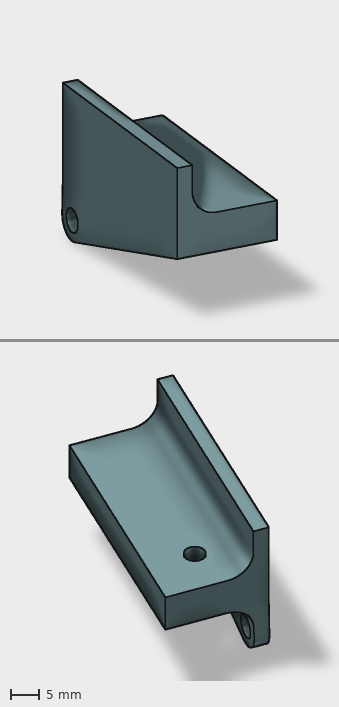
import cadquery as cq
import math

length = 45.35
depth = 20.0
height = 29.25

plate_thickness = 3.0
end_height = 17.6
left_edge_x = 0.3
lug_radius = 4.0
lug_hole_diameter = 4.6

shelf_drop = 10.0
fillet_radius = 5.0
shelf_hole_diameter = 4.0
shelf_hole_x = 9.35
shelf_hole_y = 10.6

shelf_top = height - shelf_drop
shelf_bottom = height - end_height
lug_x = lug_radius
lug_z = lug_radius


def lug_point(angle):
    """Point on the rim of the rounded lug, angle in radians from +X."""
    return (lug_x + lug_radius * math.cos(angle), lug_z + lug_radius * math.sin(angle))


def tangent_angle(x, z, side):
    """Rim angle where a line from (x, z) touches the lug; side is +1 or -1."""
    distance = math.hypot(x - lug_x, z - lug_z)
    direction = math.atan2(z - lug_z, x - lug_x)
    return direction + side * math.acos(lug_radius / distance)


def make_outline():
    """Side outline shared by the plate and the shelf, extruded over the full depth."""
    left_angle = tangent_angle(left_edge_x, shelf_bottom, 1)
    lower_angle = tangent_angle(length, shelf_bottom, -1) + 2 * math.pi
    return (
        cq.Workplane("XZ")
        .moveTo(left_edge_x, height)
        .lineTo(left_edge_x, shelf_bottom)
        .lineTo(*lug_point(left_angle))
        .threePointArc(lug_point((left_angle + lower_angle) / 2), lug_point(lower_angle))
        .lineTo(length, shelf_bottom)
        .lineTo(length, height)
        .close()
        .extrude(-depth)
    )


def make_cross_section():
    """T-shaped section with filleted inner corners, extruded along X."""
    fillet_end_y = plate_thickness + fillet_radius
    return (
        cq.Workplane("YZ")
        .moveTo(0, 0)
        .lineTo(plate_thickness, 0)
        .lineTo(plate_thickness, shelf_bottom - fillet_radius)
        .radiusArc((fillet_end_y, shelf_bottom), fillet_radius)
        .lineTo(depth, shelf_bottom)
        .lineTo(depth, shelf_top)
        .lineTo(fillet_end_y, shelf_top)
        .radiusArc((plate_thickness, shelf_top + fillet_radius), fillet_radius)
        .lineTo(plate_thickness, height)
        .lineTo(0, height)
        .close()
        .extrude(length)
    )


def make_lug_hole():
    return (
        cq.Workplane("XZ")
        .center(lug_x, lug_z)
        .circle(lug_hole_diameter / 2)
        .extrude(-plate_thickness)
    )


def make_shelf_hole():
    return (
        cq.Workplane("XY", origin=(shelf_hole_x, shelf_hole_y, shelf_bottom))
        .circle(shelf_hole_diameter / 2)
        .extrude(shelf_top - shelf_bottom)
    )


result = make_outline().intersect(make_cross_section())
result = result.cut(make_lug_hole()).cut(make_shelf_hole())